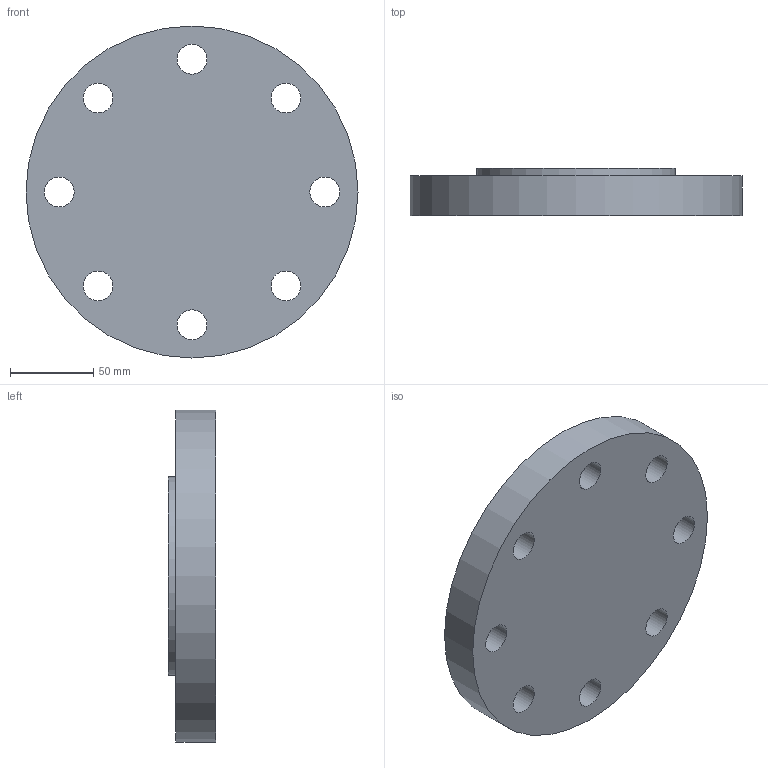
import cadquery as cq

flange_diameter = 200.0
flange_thickness = 24.0
overall_thickness = 28.5
raised_face_diameter = 120.0
raised_face_height = overall_thickness - flange_thickness

bolt_hole_count = 8
bolt_hole_diameter = 18.0
bolt_circle_diameter = 160.0


def disc(diameter, start_y, thickness):
    """Solid disc about the Y axis, growing toward +Y from start_y."""
    plane = cq.Workplane("XZ", origin=(0, start_y, 0))
    return plane.circle(diameter / 2).extrude(-thickness)


def bolt_holes():
    """Cylinders that cut the ring of through holes in the flange."""
    ring = cq.Workplane("XZ").polarArray(bolt_circle_diameter / 2, 0, 360, bolt_hole_count)
    return ring.circle(bolt_hole_diameter / 2).extrude(-flange_thickness)


flange = disc(flange_diameter, 0, flange_thickness)
raised_face = disc(raised_face_diameter, flange_thickness, raised_face_height)

result = flange.union(raised_face).cut(bolt_holes())